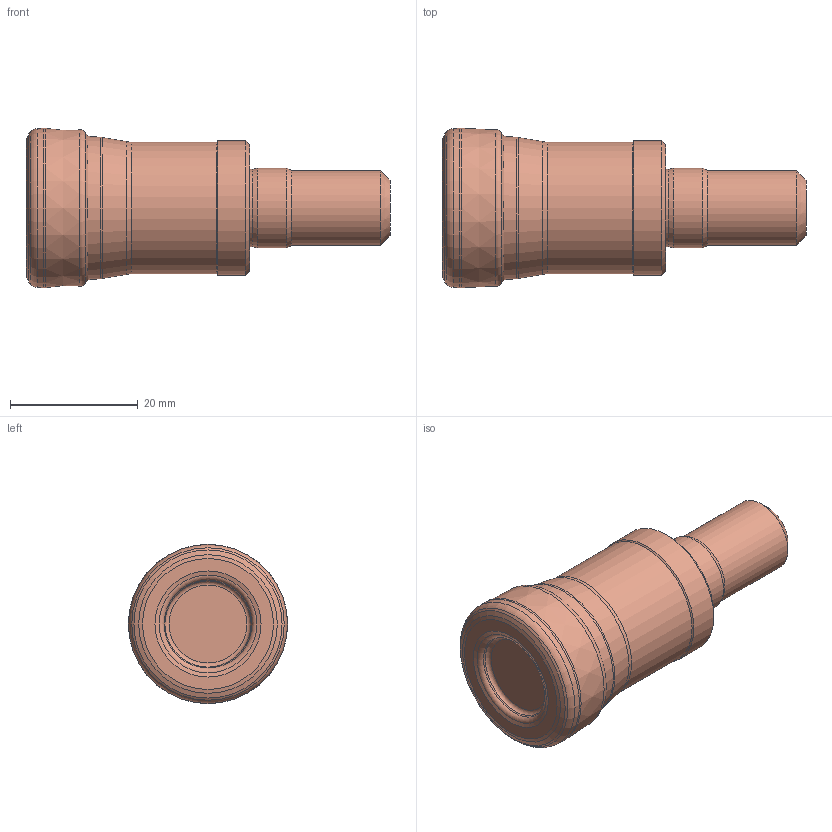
import cadquery as cq
import math

overall_length = 57.0

bumper_radius = 24.96 / 2
bumper_length = 9.7
face_outer_radius = 10.25
face_bevel_depth = 0.15
face_bevel_radius = 10.85
front_cone_depth = 0.45
front_cone_radius = 11.6
front_round_start = 0.7
front_round_start_radius = 11.93
front_round_end = 1.8
front_round_end_radius = 12.43
front_round_bulge = 0.08
band_start = 2.75
band_end = 3.1
back_round_start = 8.45
back_round_start_radius = 12.22
back_round_end = 9.25
back_round_end_radius = 11.88
back_round_bulge = 0.09

lip_outer_radius = 8.3
lip_depth = 0.2
lip_inner_radius = 7.65
throat_depth = 0.85
throat_radius = 6.88
throat_bulge = 0.12

nose_radius = 6.75
dish_floor_radius = 6.1
dish_depth = 1.75
dish_fillet = nose_radius - dish_floor_radius
dish_rim_depth = dish_depth - dish_fillet

shoulder_radius = 11.22
shoulder_end = 11.65
shoulder_end_radius = 11.08
flare_start = 12.0
flare_start_radius = 11.03
flare_blend_start = 15.8
flare_blend_radius = 10.4
flare_end = 16.45
barrel_radius = 20.6 / 2
collar_radius = 21.0 / 2
collar_start = 29.85
collar_end = 35.0
collar_front_chamfer = collar_radius - barrel_radius
collar_back_chamfer = 0.55

neck_radius = 6.05
neck_end = 35.4
stem_collar_radius = 12.5 / 2
stem_collar_start = 36.2
stem_collar_end = 40.85
stem_radius = 11.75 / 2
stem_start = 41.55
tip_chamfer = 1.5


def turn(profile):
    """Revolve a closed (x, radius) profile about the X axis."""
    return profile.close().revolve(360, (0, 0, 0), (1, 0, 0))


def chord_offset(start, end, x_offset, radius_offset):
    """Middle of the chord from start to end, shifted along X and in radius."""
    return ((start[0] + end[0]) / 2 + x_offset, (start[1] + end[1]) / 2 + radius_offset)


def make_bumper():
    front_start = (front_round_start, front_round_start_radius)
    front_end = (front_round_end, front_round_end_radius)
    front_middle = chord_offset(front_start, front_end, -front_round_bulge, front_round_bulge)
    back_start = (back_round_start, back_round_start_radius)
    back_end = (back_round_end, back_round_end_radius)
    back_middle = chord_offset(back_start, back_end, back_round_bulge, back_round_bulge)
    throat = (throat_depth, throat_radius)
    lip = (lip_depth, lip_inner_radius)
    lip_middle = chord_offset(throat, lip, -throat_bulge, -throat_bulge)
    return turn(
        cq.Workplane("XY")
        .moveTo(0, lip_outer_radius)
        .lineTo(0, face_outer_radius)
        .lineTo(face_bevel_depth, face_bevel_radius)
        .lineTo(front_cone_depth, front_cone_radius)
        .lineTo(*front_start)
        .threePointArc(front_middle, front_end)
        .lineTo(band_start, bumper_radius)
        .lineTo(band_end, bumper_radius)
        .lineTo(*back_start)
        .threePointArc(back_middle, back_end)
        .lineTo(bumper_length, shoulder_radius)
        .lineTo(bumper_length, nose_radius)
        .lineTo(dish_rim_depth, nose_radius)
        .lineTo(*throat)
        .threePointArc(lip_middle, lip)
    )


def make_pin():
    dish_fillet_leg = dish_fillet * math.sqrt(0.5)
    dish_fillet_middle = (dish_rim_depth + dish_fillet_leg, dish_floor_radius + dish_fillet_leg)
    return turn(
        cq.Workplane("XY")
        .moveTo(dish_depth, 0)
        .lineTo(dish_depth, dish_floor_radius)
        .threePointArc(dish_fillet_middle, (dish_rim_depth, nose_radius))
        .lineTo(bumper_length, nose_radius)
        .lineTo(bumper_length, shoulder_radius)
        .lineTo(shoulder_end, shoulder_end_radius)
        .lineTo(flare_start, flare_start_radius)
        .lineTo(flare_blend_start, flare_blend_radius)
        .lineTo(flare_end, barrel_radius)
        .lineTo(collar_start, barrel_radius)
        .lineTo(collar_start + collar_front_chamfer, collar_radius)
        .lineTo(collar_end - collar_back_chamfer, collar_radius)
        .lineTo(collar_end, collar_radius - collar_back_chamfer)
        .lineTo(collar_end, neck_radius)
        .lineTo(neck_end, neck_radius)
        .lineTo(stem_collar_start, stem_collar_radius)
        .lineTo(stem_collar_end, stem_collar_radius)
        .lineTo(stem_start, stem_radius)
        .lineTo(overall_length - tip_chamfer, stem_radius)
        .lineTo(overall_length, stem_radius - tip_chamfer)
        .lineTo(overall_length, 0)
    )


bumper = make_bumper()
pin = make_pin()

result = cq.Compound.makeCompound([bumper.val(), pin.val()])